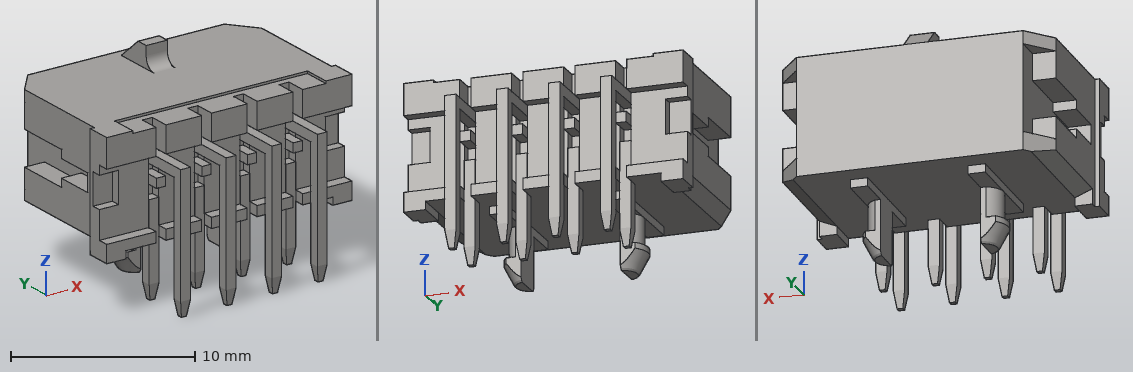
import cadquery as cq


BODY_WIDTH = 15.62
BODY_LENGTH = 9.89
BODY_BOTTOM = 0.48
BODY_TOP = 7.39
CORNER_X = 1.33
CORNER_Y = 1.63
BOTTOM_CHAMFER_X = 1.0
BOTTOM_CHAMFER_Z = 0.41

FLANGE_WIDTH = 16.15
FLANGE_LENGTH = 1.58
FOOT_WIDTH = 1.27
FOOT_LENGTH = 2.01

WALL_Y = 0.71
HOOD_UNDERSIDE = 5.54
LEDGE_TOP = 1.14
WINDOW_BOTTOM = 2.94
WINDOW_TOP = 4.95
TOP_RECESS_WIDTH = 12.70
TOP_RECESS_LENGTH = 1.75
TOP_RECESS_DEPTH = 0.15

KEY_CENTER_Z = 3.95
KEY_MOUTH_BOTTOM = 1.54
KEY_MOUTH_TOP = 6.63
KEY_WIDE_HEIGHT = 2.22
KEY_WIDE_END_Y = 4.73
KEY_NARROW_HEIGHT = 1.15
KEY_NARROW_END_Y = 2.23

PIN_COUNT = 4
PIN_PITCH = 3.0
PIN_SIZE = 0.65
PIN_TIP_SIZE = 0.33
PIN_TIP_LENGTH = 0.99
PIN_BOTTOM = -3.19
SLOT_END_Y = 1.31
UPPER_PIN_TOP = 5.55
UPPER_PIN_BACK = -2.35
LOWER_PIN_TOP = 2.79
STUB_SIZE = 0.60
STUB_CENTER_Z = 3.96

LATCH_WIDTH = 1.39
LATCH_TOP = 8.76
LATCH_RAMP_START_Y = 9.33
LATCH_CREST_FRONT_Y = 7.73
LATCH_CREST_BACK_Y = 6.95
LATCH_FILLET = 0.74

PEG_INNER_X = 2.865
PEG_OUTER_X = 3.857
PEG_SHOULDER_X = 3.18
PEG_WIDTH = 2.03
PEG_CENTER_Y = 5.31
PEG_CONE_AXIS_X = 2.63
BARB_RADIUS = 1.49
BARB_TOP = -1.74
BARB_CONE_TOP = -2.07
BARB_CONE_END_RADIUS = 0.96
BARB_TIP_CHAMFER = 0.10
RAIL_FRONT_Y = 8.50


def box(x_range, y_range, z_range):
    """Axis-aligned block between the given limits."""
    size = [high - low for low, high in (x_range, y_range, z_range)]
    corner = (x_range[0], y_range[0], z_range[0])
    return cq.Workplane("XY").box(*size, centered=False).translate(corner)


def centered(width, center=0.0):
    """Limits of a span of the given width about a center."""
    return (center - width / 2, center + width / 2)


def both_sides(shape):
    """The shape together with its mirror image across X = 0."""
    return shape.union(shape.mirror("YZ"))


def make_body():
    half = BODY_WIDTH / 2
    body = (
        cq.Workplane("XY", origin=(0, 0, BODY_BOTTOM))
        .moveTo(-half, 0)
        .lineTo(half, 0)
        .lineTo(half, BODY_LENGTH - CORNER_Y)
        .lineTo(half - CORNER_X, BODY_LENGTH)
        .lineTo(-half + CORNER_X, BODY_LENGTH)
        .lineTo(-half, BODY_LENGTH - CORNER_Y)
        .close()
        .extrude(BODY_TOP - BODY_BOTTOM)
    )
    edge_wedge = (
        cq.Workplane("XZ", origin=(0, FOOT_LENGTH, 0))
        .moveTo(half, BODY_BOTTOM)
        .lineTo(half, BODY_BOTTOM + BOTTOM_CHAMFER_Z)
        .lineTo(half - BOTTOM_CHAMFER_X, BODY_BOTTOM)
        .close()
        .extrude(FOOT_LENGTH - BODY_LENGTH)
    )
    return body.cut(both_sides(edge_wedge))


def make_key_recess():
    """Side recess that narrows in two steps from the mating end."""
    outer = BODY_WIDTH / 2
    floor = outer - CORNER_X
    mouth = box(
        (floor, outer),
        (BODY_LENGTH - CORNER_Y, BODY_LENGTH),
        (KEY_MOUTH_BOTTOM, KEY_MOUTH_TOP),
    )
    wide = box(
        (floor, outer),
        (KEY_WIDE_END_Y, BODY_LENGTH),
        centered(KEY_WIDE_HEIGHT, KEY_CENTER_Z),
    )
    narrow = box(
        (floor, outer),
        (KEY_NARROW_END_Y, BODY_LENGTH),
        centered(KEY_NARROW_HEIGHT, KEY_CENTER_Z),
    )
    return both_sides(mouth.union(wide).union(narrow))


def make_flange():
    half = FLANGE_WIDTH / 2
    foot_inner = half - FOOT_WIDTH
    flange = box((-half, half), (0, FLANGE_LENGTH), (BODY_BOTTOM, BODY_TOP))
    wide_foot = box((foot_inner, half), (0, FLANGE_LENGTH), (0, BODY_BOTTOM))
    foot_front = box((foot_inner, BODY_WIDTH / 2), (0, FOOT_LENGTH), (0, BODY_BOTTOM))
    return flange.union(both_sides(wide_foot.union(foot_front)))


def make_rear_recesses():
    half = FLANGE_WIDTH / 2
    under_hood = box((-half, half), (0, WALL_Y), (LEDGE_TOP, HOOD_UNDERSIDE))
    window = box((half - FOOT_WIDTH, half), (0, SLOT_END_Y), (WINDOW_BOTTOM, WINDOW_TOP))
    top_recess = box(
        centered(TOP_RECESS_WIDTH),
        (0, TOP_RECESS_LENGTH),
        (BODY_TOP - TOP_RECESS_DEPTH, BODY_TOP),
    )
    return under_hood.union(both_sides(window)).union(top_recess)


def make_slot(x):
    """Full-height rear slot for one column of pins."""
    return box(centered(PIN_SIZE, x), (0, SLOT_END_Y), (BODY_BOTTOM, BODY_TOP))


def make_pin_leg(x, y, top):
    """Square vertical leg with a tapered tip."""
    taper_start = PIN_BOTTOM + PIN_TIP_LENGTH
    leg = box(centered(PIN_SIZE, x), centered(PIN_SIZE, y), (taper_start, top))
    tip = (
        cq.Workplane("XY", origin=(x, y, PIN_BOTTOM))
        .rect(PIN_TIP_SIZE, PIN_TIP_SIZE)
        .workplane(offset=PIN_TIP_LENGTH)
        .rect(PIN_SIZE, PIN_SIZE)
        .loft()
    )
    return leg.union(tip)


def make_pin_column(x):
    """Upper bent pin, lower pin and the small support stub between them."""
    upper_arm = box(
        centered(PIN_SIZE, x),
        (UPPER_PIN_BACK, SLOT_END_Y),
        (UPPER_PIN_TOP - PIN_SIZE, UPPER_PIN_TOP),
    )
    upper_leg = make_pin_leg(x, UPPER_PIN_BACK + PIN_SIZE / 2, UPPER_PIN_TOP)
    lower_leg = make_pin_leg(x, SLOT_END_Y - PIN_SIZE / 2, LOWER_PIN_TOP)
    stub = box(
        centered(STUB_SIZE, x),
        (0, SLOT_END_Y),
        centered(STUB_SIZE, STUB_CENTER_Z),
    )
    return upper_arm.union(upper_leg).union(lower_leg).union(stub)


def make_latch():
    return (
        cq.Workplane("YZ", origin=(-LATCH_WIDTH / 2, 0, 0))
        .moveTo(LATCH_RAMP_START_Y, BODY_TOP)
        .lineTo(LATCH_CREST_FRONT_Y, LATCH_TOP)
        .lineTo(LATCH_CREST_BACK_Y, LATCH_TOP)
        .lineTo(LATCH_CREST_BACK_Y, BODY_TOP + LATCH_FILLET)
        .radiusArc((LATCH_CREST_BACK_Y - LATCH_FILLET, BODY_TOP), LATCH_FILLET)
        .close()
        .extrude(LATCH_WIDTH)
    )


def make_peg():
    """Rail on the underside with a half-round snap peg and a conical barb."""
    y_range = centered(PEG_WIDTH, PEG_CENTER_Y)
    rail = box((PEG_INNER_X, PEG_OUTER_X), (FOOT_LENGTH, RAIL_FRONT_Y), (0, BODY_BOTTOM))
    shaft = (
        cq.Workplane("XY", origin=(0, 0, BARB_TOP))
        .moveTo(PEG_INNER_X, y_range[0])
        .lineTo(PEG_SHOULDER_X, y_range[0])
        .threePointArc((PEG_OUTER_X, PEG_CENTER_Y), (PEG_SHOULDER_X, y_range[1]))
        .lineTo(PEG_INNER_X, y_range[1])
        .close()
        .extrude(-BARB_TOP)
    )
    round_barb = (
        cq.Workplane("XZ")
        .moveTo(0, BARB_TOP)
        .lineTo(BARB_RADIUS, BARB_TOP)
        .lineTo(BARB_RADIUS, BARB_CONE_TOP)
        .lineTo(BARB_CONE_END_RADIUS, PIN_BOTTOM + BARB_TIP_CHAMFER)
        .lineTo(BARB_CONE_END_RADIUS - BARB_TIP_CHAMFER, PIN_BOTTOM)
        .lineTo(0, PIN_BOTTOM)
        .close()
        .revolve(360, (0, 0, 0), (0, 1, 0))
        .translate((PEG_CONE_AXIS_X, PEG_CENTER_Y, 0))
    )
    barb_limits = box(
        (PEG_INNER_X, PEG_CONE_AXIS_X + BARB_RADIUS),
        y_range,
        (PIN_BOTTOM, BARB_TOP),
    )
    return rail.union(shaft).union(round_barb.intersect(barb_limits))


pin_columns = [(i - (PIN_COUNT - 1) / 2) * PIN_PITCH for i in range(PIN_COUNT)]

result = make_body().cut(make_key_recess())
result = result.union(make_flange()).cut(make_rear_recesses())
result = result.union(make_latch()).union(both_sides(make_peg()))
for column_x in pin_columns:
    result = result.cut(make_slot(column_x))
for column_x in pin_columns:
    result = result.union(make_pin_column(column_x))